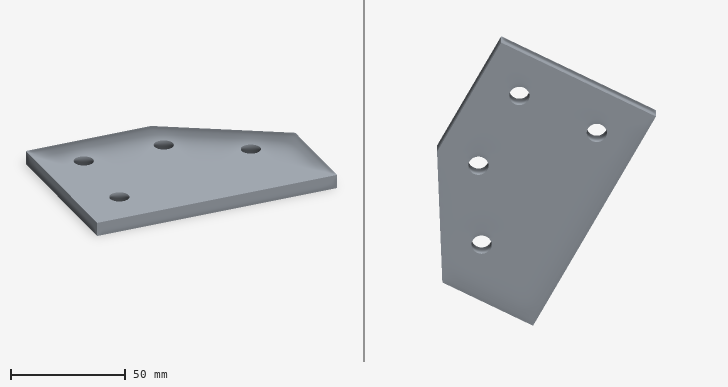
import cadquery as cq
import math

length = 114.3
width = 76.2
thickness = 6.4

left_edge_length = 59.7
slope_angle = math.radians(60)
slope_run = (length - left_edge_length) / math.tan(slope_angle)

hole_diameter = 8.8
hole_pitch = width / 2
hole_margin = hole_pitch / 2
near = hole_margin
far = hole_margin + hole_pitch
hole_centers = [
    (near, near),
    (far, near),
    (near, far),
    (near + hole_pitch * math.cos(slope_angle), far + hole_pitch * math.sin(slope_angle)),
]

plate = (
    cq.Workplane("XY")
    .polyline([
        (0, 0),
        (width, 0),
        (width, length),
        (slope_run, length),
        (0, left_edge_length),
    ])
    .close()
    .extrude(thickness)
)

holes = (
    cq.Workplane("XY")
    .pushPoints(hole_centers)
    .circle(hole_diameter / 2)
    .extrude(thickness)
)

result = plate.cut(holes)